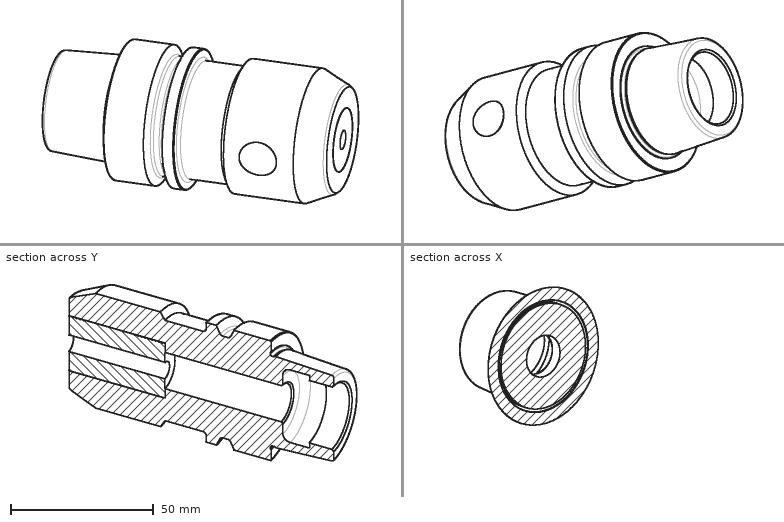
import cadquery as cq
import math

total_length = 104.9
nose_face_x = 104.8

shank_tip_radius = 17.9
shank_tip_round = 0.9
shank_base_radius = 19.1
shank_base_x = 23.0
relief_radius = 18.8
relief_start_x = 23.7
relief_round = 0.7

flange_radius = 25.02
flange_start_x = 24.8
flange_end_x = 50.7
flange_edge = 0.3
face_recess_radius = 20.1
face_recess_depth = 0.3

groove_start_x = 39.5
groove_end_x = 46.5
groove_floor_radius = 21.3
groove_flank_angle = 25.0
groove_round = 1.0

neck_radius = 21.0
neck_round = 1.2

nose_start_x = 66.8
nose_radius = 23.97
nose_bevel_length = 1.8
nose_cone_start_x = 94.2
nose_cone_end_x = 103.7
nose_tip_radius = 19.6
nose_tip_edge = 0.8

mouth_radius = 13.6
mouth_chamfer = 0.7
undercut_start_x = 9.8
undercut_radius = 15.0
pocket_floor_x = 20.1
pocket_round = 2.8

passage_radius = 7.5
passage_chamfer = 0.6

sleeve_start_x = nose_start_x
sleeve_radius = 11.3
sleeve_hole_radius = 3.4

dimple_x = 81.2
dimple_ball_radius = 7.7
dimple_ball_offset = 27.4

QUARTER_ARC_INSET = 1 - math.sqrt(0.5)


def turn(outline):
    """Close an outline of (X, radius) points and revolve it about the X axis."""
    return outline.close().revolve(360, (0, 0, 0), (1, 0, 0))


def add_flange_groove(outline):
    """Continue the outline through the V-groove, with a round at each floor corner."""
    flank = math.radians(groove_flank_angle)
    flank_width = (flange_radius - groove_floor_radius) * math.tan(flank)
    left_corner_x = groove_start_x + flank_width
    right_corner_x = groove_end_x - flank_width

    half_turn = (math.pi / 2 - flank) / 2
    setback = groove_round * math.tan(half_turn)
    flank_dx = setback * math.sin(flank)
    flank_radius = groove_floor_radius + setback * math.cos(flank)
    middle_dx = setback - groove_round * math.sin(half_turn)
    middle_radius = groove_floor_radius + groove_round * (1 - math.cos(half_turn))

    return (
        outline.lineTo(groove_start_x, flange_radius)
        .lineTo(left_corner_x - flank_dx, flank_radius)
        .threePointArc(
            (left_corner_x + middle_dx, middle_radius),
            (left_corner_x + setback, groove_floor_radius),
        )
        .lineTo(right_corner_x - setback, groove_floor_radius)
        .threePointArc(
            (right_corner_x - middle_dx, middle_radius),
            (right_corner_x + flank_dx, flank_radius),
        )
        .lineTo(groove_end_x, flange_radius)
    )


def make_holder_blank():
    """Outside shape of the holder, without any bores or dimples."""
    tip_inset = shank_tip_round * QUARTER_ARC_INSET
    relief_inset = relief_round * QUARTER_ARC_INSET
    neck_inset = neck_round * QUARTER_ARC_INSET
    recess_x = flange_start_x + face_recess_depth

    shank = (
        cq.Workplane("XZ")
        .moveTo(0, 0)
        .lineTo(0, shank_tip_radius - shank_tip_round)
        .threePointArc((tip_inset, shank_tip_radius - tip_inset), (shank_tip_round, shank_tip_radius))
        .lineTo(shank_base_x, shank_base_radius)
        .lineTo(relief_start_x, relief_radius)
        .lineTo(recess_x - relief_round, relief_radius)
        .threePointArc(
            (recess_x - relief_inset, relief_radius + relief_inset),
            (recess_x, relief_radius + relief_round),
        )
    )
    flange_front = (
        shank.lineTo(recess_x, face_recess_radius)
        .lineTo(flange_start_x, face_recess_radius)
        .lineTo(flange_start_x, flange_radius - flange_edge)
        .lineTo(flange_start_x + flange_edge, flange_radius)
    )
    flange_and_neck = (
        add_flange_groove(flange_front)
        .lineTo(flange_end_x - flange_edge, flange_radius)
        .lineTo(flange_end_x, flange_radius - flange_edge)
        .lineTo(flange_end_x, neck_radius + neck_round)
        .threePointArc(
            (flange_end_x + neck_inset, neck_radius + neck_inset),
            (flange_end_x + neck_round, neck_radius),
        )
        .lineTo(nose_start_x, neck_radius)
    )
    nose = (
        flange_and_neck.lineTo(nose_start_x + nose_bevel_length, nose_radius)
        .lineTo(nose_cone_start_x, nose_radius)
        .lineTo(nose_cone_end_x, nose_tip_radius)
        .lineTo(nose_face_x, nose_tip_radius - nose_tip_edge)
        .lineTo(nose_face_x, 0)
    )
    return turn(nose)


def make_bores():
    """Clamping pocket, passage and sleeve seat as one turned cutting shape."""
    mouth_bore_radius = mouth_radius - mouth_chamfer
    pocket_inset = pocket_round * QUARTER_ARC_INSET
    pocket = (
        cq.Workplane("XZ")
        .moveTo(0, 0)
        .lineTo(0, mouth_radius)
        .lineTo(mouth_chamfer, mouth_bore_radius)
        .lineTo(undercut_start_x, mouth_bore_radius)
        .lineTo(undercut_start_x, undercut_radius)
        .lineTo(pocket_floor_x - pocket_round, undercut_radius)
        .threePointArc(
            (pocket_floor_x - pocket_inset, undercut_radius - pocket_inset),
            (pocket_floor_x, undercut_radius - pocket_round),
        )
    )
    passage_and_seat = (
        pocket.lineTo(pocket_floor_x, passage_radius + passage_chamfer)
        .lineTo(pocket_floor_x + passage_chamfer, passage_radius)
        .lineTo(sleeve_start_x, passage_radius)
        .lineTo(sleeve_start_x, sleeve_radius)
        .lineTo(nose_face_x, sleeve_radius)
        .lineTo(nose_face_x, 0)
    )
    return turn(passage_and_seat)


def make_holder():
    """Holder with its bores and the two ball dimples cut."""
    body = make_holder_blank().cut(make_bores())
    for side in (-1, 1):
        ball_centre = (dimple_x, side * dimple_ball_offset, 0)
        ball = cq.Workplane("XY").sphere(dimple_ball_radius).translate(ball_centre)
        body = body.cut(ball)
    return body


def make_sleeve():
    """Plain sleeve that fills the seat and stands slightly proud of the nose face."""
    return (
        cq.Workplane("YZ", origin=(sleeve_start_x, 0, 0))
        .circle(sleeve_radius)
        .circle(sleeve_hole_radius)
        .extrude(total_length - sleeve_start_x)
    )


holder = make_holder()
sleeve = make_sleeve()
result = cq.Compound.makeCompound([holder.val(), sleeve.val()])